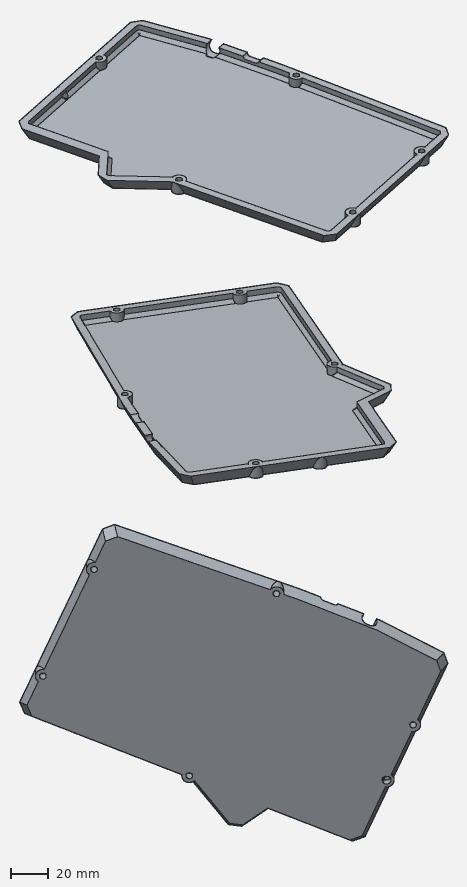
import cadquery as cq
import math

HEIGHT = 7.0
FLOOR_Z = 1.75
LEDGE_Z = 3.8
OUTER_MARGIN = 5.0
CAVITY_MARGIN = 0.5
OUTER_TAPER = 3.0
INNER_TAPER = 2.05

BASE_WIDTH = 189.0
SIDE_HEIGHT = 110.6
PEAK_HEIGHT = 114.75
PEAK_START_X = 38.5
PEAK_END_X = 84.0
TIP = (61.7, -17.83)
TONGUE_ANGLE = math.radians(60)
LEFT_FRONT_STEP = 1.6

BOSS_DIAMETER = 8.0
SCREW_DIAMETER = 3.5
BOSS_SHIFT = OUTER_MARGIN - BOSS_DIAMETER / 2
MIDDLE_BOSS_X = 95.8
LEFT_BOSS_Y = 73.3
BLIND_BOSS_Y = 38.0
RIGHT_BOSS_YS = (21.9, 90.1)
BLIND_SCREW_DIAMETER = 4.6
BLIND_SCREW_DEPTH = 5.0

JACK_X = 43.7
JACK_Z = 4.9
JACK_DIAMETER = 7.2
JACK_FLAT = 1.4
JACK_REACH = 2.7
USB_X = 67.3
USB_Z = 7.5
USB_DIAMETER = 4.0
USB_FLAT = 6.0
USB_REACH = 2.5


def outline_points(left_front_y):
    """Base outline, anticlockwise; the front edge left of the tongue lies at left_front_y."""
    tip_x, tip_y = TIP
    left_root_x = tip_x - (left_front_y - tip_y) / math.tan(TONGUE_ANGLE)
    right_root_x = tip_x - tip_y * math.tan(TONGUE_ANGLE)
    return [
        (0, left_front_y),
        (left_root_x, left_front_y),
        TIP,
        (right_root_x, 0),
        (BASE_WIDTH, 0),
        (BASE_WIDTH, SIDE_HEIGHT),
        (PEAK_END_X, PEAK_HEIGHT),
        (PEAK_START_X, PEAK_HEIGHT),
        (0, SIDE_HEIGHT),
    ]


def outward_normal(start, end):
    dx = end[0] - start[0]
    dy = end[1] - start[1]
    length = math.hypot(dx, dy)
    return dy / length, -dx / length


def moved_out(points, distance, flat_corners=False):
    """Shift every edge outward; flat_corners cuts each outer corner off flat."""
    moved = []
    for i, (x, y) in enumerate(points):
        nx1, ny1 = outward_normal(points[i - 1], (x, y))
        nx2, ny2 = outward_normal((x, y), points[(i + 1) % len(points)])
        convex = nx1 * ny2 - ny1 * nx2 > 0
        if flat_corners and convex:
            moved.append((x + distance * nx1, y + distance * ny1))
            moved.append((x + distance * nx2, y + distance * ny2))
        else:
            reach = distance / (1 + nx1 * nx2 + ny1 * ny2)
            moved.append((x + reach * (nx1 + nx2), y + reach * (ny1 + ny2)))
    return moved


def tapered_block(lower, lower_z, upper, upper_z):
    return (
        cq.Workplane("XY", origin=(0, 0, lower_z)).polyline(lower).close()
        .workplane(offset=upper_z - lower_z).polyline(upper).close()
        .loft(ruled=True, combine=True)
    )


def outer_body():
    base = outline_points(0)
    rim = moved_out(base, OUTER_MARGIN, flat_corners=True)
    foot = moved_out(moved_out(base, -OUTER_TAPER), OUTER_MARGIN, flat_corners=True)
    return tapered_block(foot, 0, rim, HEIGHT)


def cavity():
    """The floor's corners are sharp; the outer corners widen as cones into the rounded upright wall."""
    floor = moved_out(outline_points(LEFT_FRONT_STEP), CAVITY_MARGIN - INNER_TAPER)
    floor_wire = cq.Workplane("XY", origin=(0, 0, LEDGE_Z)).polyline(floor).close()
    upright = floor_wire.offset2D(INNER_TAPER, "arc").extrude(HEIGHT - LEDGE_Z)
    slope_angle = math.degrees(math.atan2(INNER_TAPER, LEDGE_Z - FLOOR_Z))
    sloped = (
        cq.Workplane("XY", origin=(0, 0, FLOOR_Z)).polyline(floor).close()
        .extrude(LEDGE_Z - FLOOR_Z, taper=-slope_angle)
    )
    return sloped.union(upright)


def cylinders(centres, diameter, height):
    return cq.Workplane("XY").pushPoints(centres).circle(diameter / 2).extrude(height)


def cable_opening(x, z, flat, diameter, reach):
    """Slot with round ends, centred at height z, cut through the back wall and the rim above it."""
    back_y = PEAK_HEIGHT + 2 * OUTER_MARGIN
    return (
        cq.Workplane("XZ", origin=(x, back_y, z))
        .slot2D(flat + diameter, diameter)
        .extrude(2 * OUTER_MARGIN + reach)
    )


back_slope = (PEAK_HEIGHT - SIDE_HEIGHT) / (BASE_WIDTH - PEAK_END_X)
back_boss_y = PEAK_HEIGHT - back_slope * (MIDDLE_BOSS_X - PEAK_END_X) + BOSS_SHIFT
through_bosses = [
    (-BOSS_SHIFT, LEFT_BOSS_Y),
    (MIDDLE_BOSS_X, -BOSS_SHIFT),
    (MIDDLE_BOSS_X, back_boss_y),
]
through_bosses += [(BASE_WIDTH + BOSS_SHIFT, y) for y in RIGHT_BOSS_YS]
blind_boss = [(-BOSS_SHIFT, BLIND_BOSS_Y)]

result = outer_body().union(cylinders(blind_boss, BOSS_DIAMETER, HEIGHT))
result = result.cut(cavity())
result = result.union(cylinders(through_bosses, BOSS_DIAMETER, HEIGHT))
result = result.cut(cylinders(through_bosses, SCREW_DIAMETER, HEIGHT))
result = result.cut(cylinders(blind_boss, BLIND_SCREW_DIAMETER, BLIND_SCREW_DEPTH))
result = result.cut(cable_opening(JACK_X, JACK_Z, JACK_FLAT, JACK_DIAMETER, JACK_REACH))
result = result.cut(cable_opening(USB_X, USB_Z, USB_FLAT, USB_DIAMETER, USB_REACH))